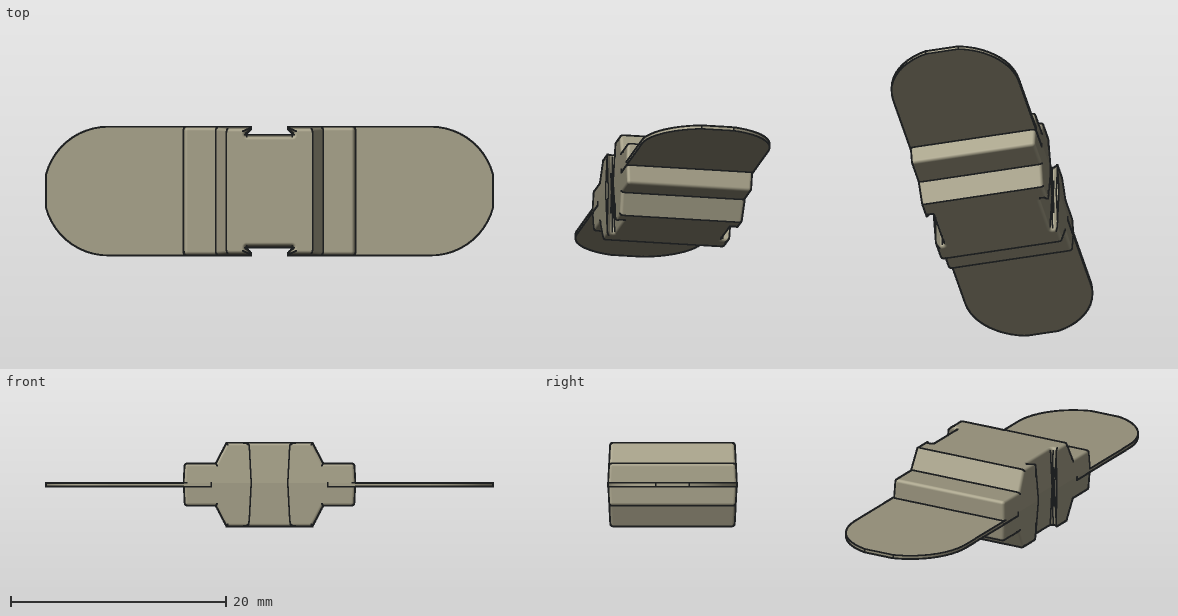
import cadquery as cq

strap_length = 41.6
strap_width = 12.0
strap_end_radius = strap_width / 2
strap_arc_centre_x = 15.0
strap_inner_x = 5.4
strap_top_z = 0.15
strap_bottom_z = -0.2

body_length = 16.0
body_width = strap_width
body_height = 7.8
shoulder_height = 3.95
plateau_half_length = 4.0
ramp_foot_x = 5.0
seam_z = strap_top_z
draft_angle = 3.0
edge_radius = 0.3

groove_depth = 0.75
groove_mouth_half = 1.7
groove_inner_half = 2.1
groove_wall = 0.1
groove_margin = 2.0

tolerance = 0.01


def strap_bar(side, outer_x):
    """A straight piece of strap from its inner end out to outer_x, towards +X or -X."""
    length = outer_x - strap_inner_x
    base = cq.Workplane("XY", origin=(side * (strap_inner_x + length / 2), 0, strap_bottom_z))
    return base.rect(length, strap_width).extrude(strap_top_z - strap_bottom_z)


def strap_tongue(side):
    """One tongue of the strap: a round end cut off flat at the overall length."""
    base = cq.Workplane("XY", origin=(side * strap_arc_centre_x, 0, strap_bottom_z))
    disc = base.circle(strap_end_radius).extrude(strap_top_z - strap_bottom_z)
    return strap_bar(side, strap_arc_centre_x).union(disc).intersect(strap_bar(side, strap_length / 2))


def stepped_profile(shoulder, plateau):
    """The outline of one half along X, from the seam at z = 0 up to the plateau."""
    end = body_length / 2
    points = [
        (-end, 0),
        (-end, shoulder),
        (-ramp_foot_x, shoulder),
        (-plateau_half_length, plateau),
        (plateau_half_length, plateau),
        (ramp_foot_x, shoulder),
        (end, shoulder),
        (end, 0),
    ]
    return cq.Workplane("XZ").polyline(points).close().extrude(body_width / 2, both=True)


def rounded_block(shoulder, plateau):
    """One half without grooves, rounded along its sides, its ends and its upright corners."""
    tapered = cq.Workplane("XY").rect(body_length, body_width).extrude(plateau, taper=draft_angle)
    block = tapered.intersect(stepped_profile(shoulder, plateau))

    def is_outer(edge):
        on_seam = edge.BoundingBox().zmax < tolerance
        centre = edge.Center()
        is_step_line = abs(centre.y) < tolerance and abs(centre.x) < ramp_foot_x + tolerance
        return not on_seam and not is_step_line

    return block.newObject([edge for edge in block.edges().vals() if is_outer(edge)]).fillet(edge_radius)


def grooved_block(plateau):
    """An oversized tapered block with a round-rimmed undercut groove in both long sides."""
    half_length = body_length / 2 + groove_margin
    half_width = body_width / 2 + groove_margin
    floor_y = body_width / 2 - groove_depth
    wall_end_y = floor_y + groove_wall
    lip_y = wall_end_y + groove_inner_half - groove_mouth_half
    right_back = [
        (groove_inner_half, floor_y),
        (groove_inner_half, wall_end_y),
        (groove_mouth_half, lip_y),
        (groove_mouth_half, half_width),
        (half_length, half_width),
    ]
    left_back = [(-x, y) for x, y in reversed(right_back)]
    back = left_back + right_back
    front = [(-x, -y) for x, y in back]
    block = cq.Workplane("XY").polyline(back + front).close().extrude(plateau, taper=draft_angle)

    def is_rim(edge):
        centre = edge.Center()
        return abs(centre.x) < body_length / 2 and abs(centre.y) < half_width - edge_radius

    top_edges = block.faces(">Z").edges().vals()
    return block.newObject([edge for edge in top_edges if is_rim(edge)]).fillet(edge_radius)


def body_half(direction):
    """The upper (+1) or lower (-1) half of the body, grown from the seam."""
    shoulder = shoulder_height / 2 - direction * seam_z
    plateau = body_height / 2 - direction * seam_z
    half = rounded_block(shoulder, plateau).intersect(grooved_block(plateau))
    if direction < 0:
        half = half.mirror("XY")
    return half.translate((0, 0, seam_z))


body = body_half(1).union(body_half(-1))
result = body.union(strap_tongue(1)).union(strap_tongue(-1))